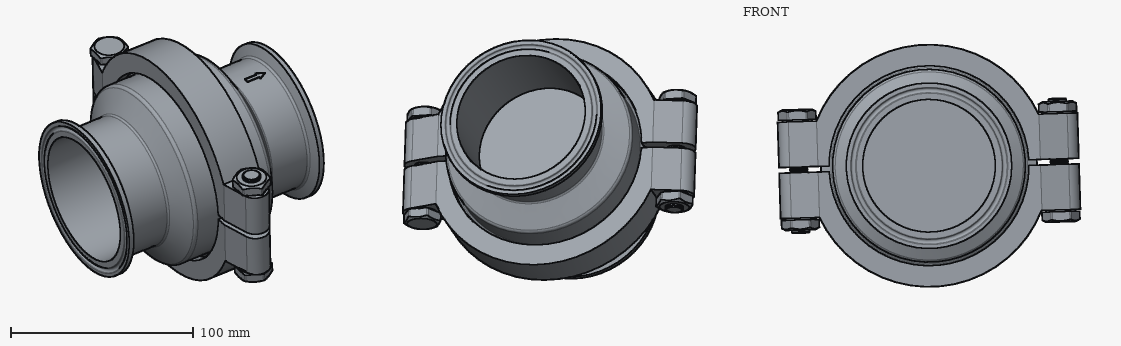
import cadquery as cq
import math

housing_length = 127.7
half_length = housing_length / 2

bore_radius = 36.5
bore_depth = 49.6
tube_radius = 38.3
ferrule_radius = 45.5
ferrule_rim_width = 3.0
flange_slope = math.tan(math.radians(20))

gasket_radius = 41.6
gasket_section_radius = 1.3
gasket_lip_fillet = 0.3

barrel_radius = 53.0
barrel_half_length = 25.3
cone_slope = math.tan(math.radians(30))
barrel_edge_fillet = 2.5
neck_fillet = 1.5

neck_y = barrel_half_length + (barrel_radius - tube_radius) * cone_slope
ferrule_root_y = half_length - ferrule_rim_width - (ferrule_radius - tube_radius) * flange_slope

flange_radius = 59.5
flange_root_half_width = 6.2
flange_root_fillet = 1.7
flange_rim_half_width = flange_root_half_width - (flange_radius - barrel_radius) * flange_slope

arrow_turn = 1.7
arrow_tip_y = 54.1
arrow_length = 12.3
arrow_head_length = 4.8
arrow_head_width = 5.3
arrow_shaft_width = 2.7
arrow_depth = 0.5

clamp_turn = -1.8
clamp_radius = 66.6
clamp_bore_radius = 55.0
clamp_width = 23.3
clamp_gap = 3.0

ear_top = 26.5
ear_root_x = math.sqrt(clamp_radius**2 - ear_top**2)
ear_end_radius = 7.8

overall_width = 166.5
tilt = math.radians(abs(clamp_turn))
ear_tip_x = (overall_width / 2 - ear_top * math.sin(tilt)) / math.cos(tilt)
ear_end_x = ear_tip_x - ear_end_radius

bolt_x = 71.6
bolt_diameter = 10.0
hex_flats = 18.3
hex_corners = hex_flats / math.cos(math.radians(30))
hex_height = 6.7
hex_chamfer_slope = math.tan(math.radians(30))
hex_face_diameter = 16.3
hex_edge_fillet = 1.0
washer_face_height = 1.0
bolt_tip_height = 1.7
bolt_tip_chamfer = 0.7
thread_pitch = 1.5
thread_depth = 0.7


def revolve_profile(points):
    """Revolve a closed (radius, y) outline about the Y axis."""
    return cq.Workplane("XY").polyline(points).close().revolve(360, (0, 0, 0), (0, 1, 0))


def is_circle_at(edge, radius, y):
    """True for a circle about Y with this radius, at +y or at -y."""
    tolerance = 0.02
    if edge.geomType() != "CIRCLE":
        return False
    same_radius = abs(edge.radius() - radius) < tolerance
    same_place = abs(abs(edge.Center().y) - y) < tolerance
    return same_radius and same_place


def fillet_circles(body, radius, y, fillet):
    """Round the matching circular edges on both halves of a body."""
    return body.edges().filter(lambda edge: is_circle_at(edge, radius, y)).fillet(fillet)


def middle_flange():
    """Disc with sloped sides that tapers towards its rim."""
    return revolve_profile([
        (0, -flange_root_half_width),
        (barrel_radius, -flange_root_half_width),
        (flange_radius, -flange_rim_half_width),
        (flange_radius, flange_rim_half_width),
        (barrel_radius, flange_root_half_width),
        (0, flange_root_half_width),
    ])


def housing_half():
    """The +Y half of the housing, with sharp edges and no bore."""
    return revolve_profile([
        (0, 0),
        (barrel_radius, 0),
        (barrel_radius, barrel_half_length),
        (tube_radius, neck_y),
        (tube_radius, ferrule_root_y),
        (ferrule_radius, half_length - ferrule_rim_width),
        (ferrule_radius, half_length),
        (0, half_length),
    ])


def pipe_bore():
    """Blind bore of the +Y tube."""
    return revolve_profile([
        (0, half_length - bore_depth),
        (bore_radius, half_length - bore_depth),
        (bore_radius, half_length),
        (0, half_length),
    ])


def gasket_groove():
    """Ring that cuts the half-round groove with rounded lips in the +Y end face."""
    lip_reach = gasket_section_radius + gasket_lip_fillet
    lip_offset = math.sqrt(lip_reach**2 - gasket_lip_fillet**2)
    lip_angle = math.asin(gasket_lip_fillet / lip_reach)
    join_offset = gasket_section_radius * math.cos(lip_angle)
    join_y = half_length - gasket_section_radius * math.sin(lip_angle)
    middle_angle = (math.pi / 2 - lip_angle) / 2
    middle_offset = lip_offset - gasket_lip_fillet * math.sin(middle_angle)
    middle_y = half_length - gasket_lip_fillet * (1 - math.cos(middle_angle))
    return (
        cq.Workplane("XY")
        .moveTo(gasket_radius + lip_offset, half_length)
        .threePointArc((gasket_radius + middle_offset, middle_y), (gasket_radius + join_offset, join_y))
        .threePointArc(
            (gasket_radius, half_length - gasket_section_radius),
            (gasket_radius - join_offset, join_y),
        )
        .threePointArc((gasket_radius - middle_offset, middle_y), (gasket_radius - lip_offset, half_length))
        .close()
        .revolve(360, (0, 0, 0), (0, 1, 0))
    )


def flow_arrow():
    """Cutter for the arrow, which points along +Y."""
    head_y = arrow_tip_y - arrow_head_length
    tail_y = arrow_tip_y - arrow_length
    outline = [
        (0, arrow_tip_y),
        (arrow_head_width / 2, head_y),
        (arrow_shaft_width / 2, head_y),
        (arrow_shaft_width / 2, tail_y),
        (-arrow_shaft_width / 2, tail_y),
        (-arrow_shaft_width / 2, head_y),
        (-arrow_head_width / 2, head_y),
    ]
    arrow = (
        cq.Workplane("XY")
        .workplane(offset=tube_radius - arrow_depth)
        .polyline(outline).close()
        .extrude(2 * arrow_depth)
    )
    return arrow.rotate((0, 0, 0), (0, 1, 0), arrow_turn)


def make_housing():
    half = housing_half()
    housing = half.union(half.mirror("XZ")).union(middle_flange())
    housing = fillet_circles(housing, barrel_radius, flange_root_half_width, flange_root_fillet)
    housing = fillet_circles(housing, barrel_radius, barrel_half_length, barrel_edge_fillet)
    housing = fillet_circles(housing, tube_radius, neck_y, neck_fillet)
    housing = fillet_circles(housing, tube_radius, ferrule_root_y, neck_fillet)

    for cutter in (pipe_bore(), gasket_groove()):
        housing = housing.cut(cutter).cut(cutter.mirror("XZ"))
    return housing.cut(flow_arrow())


def clamp_ear():
    """Ear on the +X side: straight flanks that run tangent into a rounded end."""
    half_width = clamp_width / 2
    reach = math.hypot(ear_end_x - ear_root_x, half_width)
    corner_angle = math.atan2(half_width, ear_root_x - ear_end_x)
    tangent_angle = corner_angle - math.acos(ear_end_radius / reach)
    tangent_x = ear_end_x + ear_end_radius * math.cos(tangent_angle)
    tangent_y = ear_end_radius * math.sin(tangent_angle)
    return (
        cq.Workplane("XY")
        .workplane(offset=-ear_top)
        .moveTo(ear_root_x, -half_width)
        .lineTo(tangent_x, -tangent_y)
        .threePointArc((ear_tip_x, 0), (tangent_x, tangent_y))
        .lineTo(ear_root_x, half_width)
        .close()
        .extrude(2 * ear_top)
    )


def clamp_ring():
    """Both clamp halves, grooved to sit on the middle flange."""
    ring = cq.Workplane("XZ").circle(clamp_radius).extrude(clamp_width / 2, both=True)
    ring = ring.intersect(cq.Workplane("XY").box(2 * ear_root_x, clamp_width, 2 * clamp_radius))
    ring = ring.union(clamp_ear()).union(clamp_ear().mirror("YZ"))
    bore = cq.Workplane("XZ").circle(clamp_bore_radius).extrude(clamp_width, both=True)
    split = cq.Workplane("XY").box(4 * clamp_radius, 2 * clamp_width, clamp_gap)
    return ring.cut(bore).cut(middle_flange()).cut(split)


def hexagon():
    """Bolt head or nut, standing on z = 0 on its washer face."""
    chamfer_height = (hex_corners - hex_face_diameter) / 2 * hex_chamfer_slope
    prism = (
        cq.Workplane("XY")
        .workplane(offset=washer_face_height)
        .polygon(6, hex_corners)
        .extrude(hex_height - washer_face_height)
        .edges("|Z").fillet(hex_edge_fillet)
    )
    rounding = (
        cq.Workplane("XZ")
        .moveTo(0, 0)
        .lineTo(hex_corners / 2, 0)
        .lineTo(hex_corners / 2, hex_height - chamfer_height)
        .lineTo(hex_face_diameter / 2, hex_height)
        .lineTo(0, hex_height)
        .close()
        .revolve(360, (0, 0, 0), (0, 1, 0))
    )
    washer_face = cq.Workplane("XY").circle(hex_face_diameter / 2).extrude(washer_face_height)
    return prism.intersect(rounding).union(washer_face)


def thread_groove(z):
    """One V-shaped thread groove around the bolt shank."""
    radius = bolt_diameter / 2
    return (
        cq.Workplane("XZ")
        .moveTo(radius, z - thread_pitch / 2)
        .lineTo(radius - thread_depth, z)
        .lineTo(radius, z + thread_pitch / 2)
        .close()
        .revolve(360, (0, 0, 0), (0, 1, 0))
    )


def bolt():
    """Bolt and nut along Z: head on top, nut and threaded tip below."""
    head = hexagon().translate((0, 0, ear_top))
    nut = head.mirror("XY")
    tip_z = -(ear_top + hex_height + bolt_tip_height)
    shank = (
        cq.Workplane("XY")
        .workplane(offset=tip_z)
        .circle(bolt_diameter / 2)
        .extrude(ear_top - tip_z)
        .faces("<Z").chamfer(bolt_tip_chamfer)
    )
    for side in (-1, 1):
        shank = shank.cut(thread_groove(side * thread_pitch / 2))
    return shank.union(head).union(nut)


def make_clamp():
    """The clamp halves joined by their two bolts, which face opposite ways."""
    left_bolt = bolt().translate((-bolt_x, 0, 0))
    right_bolt = left_bolt.rotate((0, 0, 0), (0, 1, 0), 180)
    clamp = clamp_ring().union(left_bolt).union(right_bolt)
    return clamp.rotate((0, 0, 0), (0, 1, 0), clamp_turn)


housing = make_housing()
clamp = make_clamp()

result = cq.Compound.makeCompound([housing.val(), clamp.val()])